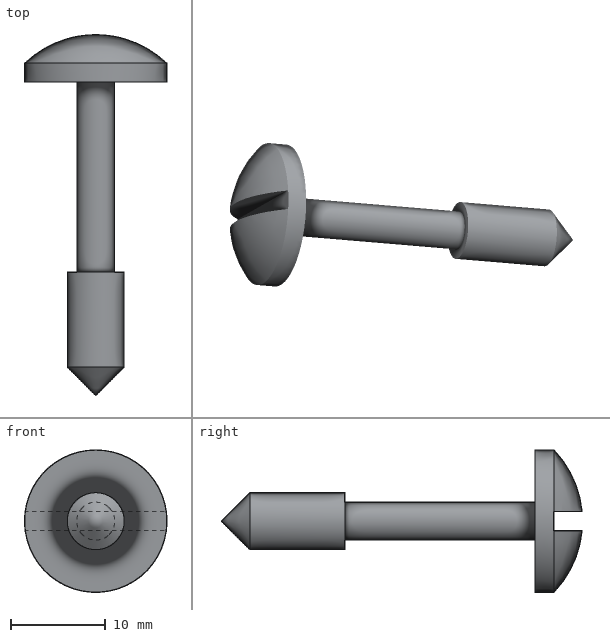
import cadquery as cq
import math

HEAD_DIAMETER = 15.0
RIM_THICKNESS = 2.0
DOME_RADIUS = 10.8
SHANK_DIAMETER = 4.0
SHANK_LENGTH = 20.0
TIP_DIAMETER = 6.0
TIP_LENGTH = 10.0
SLOT_WIDTH = 2.0

head_radius = HEAD_DIAMETER / 2
shank_radius = SHANK_DIAMETER / 2
tip_radius = TIP_DIAMETER / 2
cone_length = tip_radius

rim_top = RIM_THICKNESS
shank_end = -SHANK_LENGTH
cone_base = shank_end - TIP_LENGTH
point = cone_base - cone_length

dome_centre = rim_top - math.sqrt(DOME_RADIUS**2 - head_radius**2)
dome_top = dome_centre + DOME_RADIUS
dome_height = dome_top - rim_top
dome_mid_radius = head_radius / 2
dome_mid = dome_centre + math.sqrt(DOME_RADIUS**2 - dome_mid_radius**2)


def make_body():
    """Revolve the half profile of head, shank and pointed tip about Y."""
    return (
        cq.Workplane("YZ")
        .moveTo(point, 0)
        .lineTo(cone_base, tip_radius)
        .lineTo(shank_end, tip_radius)
        .lineTo(shank_end, shank_radius)
        .lineTo(0, shank_radius)
        .lineTo(0, head_radius)
        .lineTo(rim_top, head_radius)
        .threePointArc((dome_mid, dome_mid_radius), (dome_top, 0))
        .close()
        .revolve(360, (0, 0, 0), (1, 0, 0))
    )


def make_slot():
    """Screwdriver slot along X, as deep as the dome and ending level with the rim."""
    return (
        cq.Workplane("XY")
        .box(HEAD_DIAMETER, dome_height, SLOT_WIDTH, centered=(True, False, True))
        .translate((0, rim_top, 0))
    )


result = make_body().cut(make_slot())